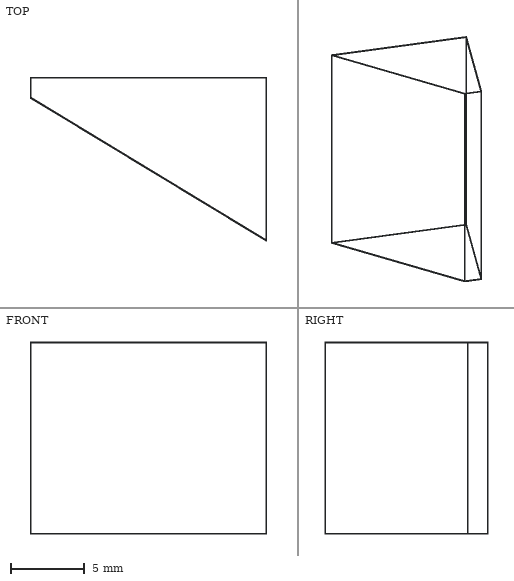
import cadquery as cq

length = 16.0
depth = 11.05
height = 13.0
thin_end_depth = 1.36

outline = [
    (0, depth),
    (0, depth - thin_end_depth),
    (length, 0),
    (length, depth),
]

result = cq.Workplane("XY").polyline(outline).close().extrude(height)